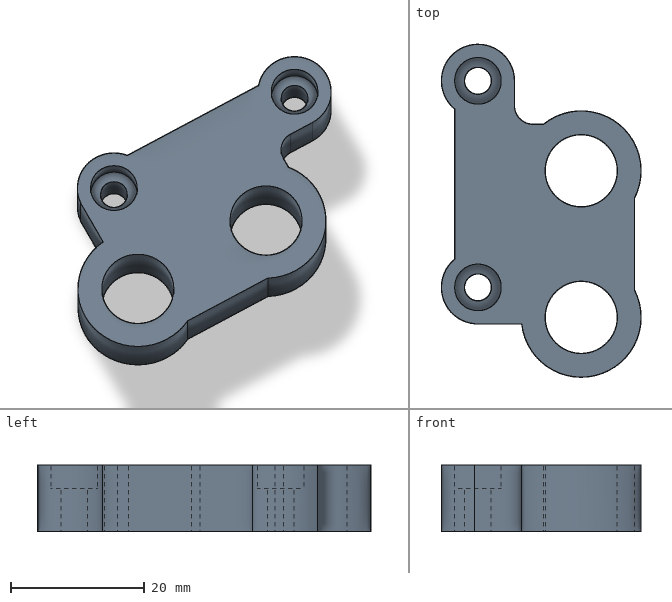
import cadquery as cq

thickness = 10.0

screw_pitch = 31.0
screw_boss_diameter = 11.0
screw_hole_diameter = 4.0
counterbore_diameter = 7.0
counterbore_depth = 3.5
screw_centers = [(0, 0), (0, screw_pitch)]

ring_x = 15.5
lower_ring_y = -4.5
ring_pitch = 22.0
ring_diameter = 18.0
bore_diameter = 10.8
ring_centers = [(ring_x, lower_ring_y), (ring_x, lower_ring_y + ring_pitch)]

screw_boss_radius = screw_boss_diameter / 2
side_web_left = -3.5
middle_web_left = -0.5
middle_web_right = 13.5
middle_web_top = 24.5
ring_web_half_width = 8.0
ring_web_bottom = -3.5
ring_web_top = 16.5
corner_fillet = 2.75


def web(left, right, bottom, top):
    """Full-thickness rectangular block between the given sides."""
    return cq.Workplane("XY").box(right - left, top - bottom, thickness, centered=False).translate(
        (left, bottom, 0)
    )


def cylinders(centers, diameter):
    """Full-thickness cylinders at the given centers."""
    return cq.Workplane("XY").pushPoints(centers).circle(diameter / 2).extrude(thickness)


body = web(side_web_left, screw_boss_radius, 0, screw_pitch)
body = body.union(web(middle_web_left, middle_web_right, -screw_boss_radius, middle_web_top))
inside_corner = cq.selectors.NearestToPointSelector((screw_boss_radius, middle_web_top, thickness / 2))
body = body.edges("|Z").edges(inside_corner).fillet(corner_fillet)
body = body.union(
    web(ring_x - ring_web_half_width, ring_x + ring_web_half_width, ring_web_bottom, ring_web_top)
)

body = body.union(cylinders(screw_centers, screw_boss_diameter))
body = body.union(cylinders(ring_centers, ring_diameter))

body = body.cut(cylinders(ring_centers, bore_diameter))
result = (
    body.faces(">Z")
    .workplane(origin=(0, 0, thickness))
    .pushPoints(screw_centers)
    .cboreHole(screw_hole_diameter, counterbore_diameter, counterbore_depth)
)